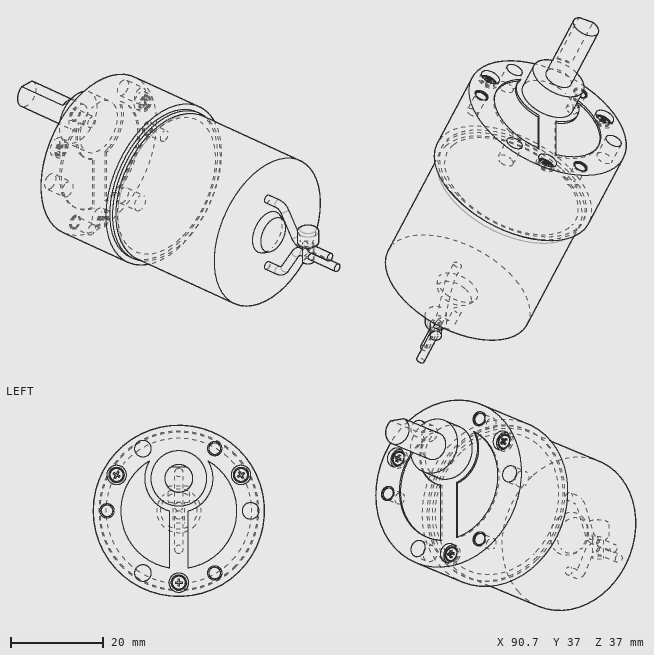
import cadquery as cq
import math

overall_length = 90.72
gearbox_radius = 18.5
gearbox_length = 19.0
flange_radius = 17.25
flange_length = 0.8
can_radius = 17.0
can_length = 29.5
can_front_round = 1.3

rear_boss_base_radius = 4.75
rear_boss_end_radius = 3.95
rear_boss_length = 1.7
rear_boss_bulge = 0.1

shaft_offset = 7.0
shaft_radius = 3.0
shaft_reach = 21.0
flat_length = 12.0
flat_height = 2.5
front_boss_radius = 6.0
front_boss_length = 6.0

recess_radius = 12.5
recess_depth = 0.5
boss_land_radius = 7.35
rib_width = 4.0

bolt_circle_radius = 15.5
plain_hole_angles = (60, 180, 300)
tapped_hole_angles = (0, 120, 240)
screw_angles = (30, 150, 270)

plain_hole_radius = 1.8
plain_hole_depth = 5.0

tapped_mouth_radius = 1.55
tapped_mouth_depth = 0.3
tapped_core_radius = 1.25
tapped_core_depth = 5.0
drill_point_angle = 118.0

screw_pocket_radius = 2.1
screw_pocket_depth = 1.4
screw_head_radius = 1.65
screw_rim_height = 0.2
screw_dome_radius = 1.4
screw_dome_height = 0.5
screw_slot_length = 1.5
screw_slot_width = 0.35
screw_slot_depth = 0.6

wire_radius = 0.9
wire_start_height = 8.3
wire_end_height = 0.89
wire_lead_length = 3.0
wire_bend_radius = 2.5
wire_slope_angle = 58.0
upper_wire_end = 67.6
wire_overall_end = overall_length - shaft_reach

pin_x = 61.2
pin_radius = 1.23
pin_bottom = -2.6
cap_radius = 2.33
cap_bottom = 1.75
cap_top = 5.35
cap_edge_round = 0.55

flange_end = gearbox_length + flange_length
can_end = flange_end + can_length


def rod(x_start, x_end, radius, y=0.0, z=0.0):
    """Cylinder along X between two stations."""
    return cq.Workplane("YZ", origin=(x_start, y, z)).circle(radius).extrude(x_end - x_start)


def bolt_circle_point(angle):
    """(y, z) of a place on the bolt circle."""
    turn = math.radians(angle)
    return bolt_circle_radius * math.cos(turn), bolt_circle_radius * math.sin(turn)


def make_housing():
    gearbox = rod(0, gearbox_length, gearbox_radius)
    flange = rod(gearbox_length, flange_end, flange_radius)
    can = rod(flange_end, can_end, can_radius).faces("<X").edges().fillet(can_front_round)
    return gearbox.union(flange).union(can)


def make_rear_boss():
    boss_end = can_end + rear_boss_length
    arc_middle = (
        can_end + rear_boss_length / 2,
        (rear_boss_base_radius + rear_boss_end_radius) / 2 + rear_boss_bulge,
    )
    return (
        cq.Workplane("XY")
        .moveTo(can_end, 0)
        .lineTo(can_end, rear_boss_base_radius)
        .threePointArc(arc_middle, (boss_end, rear_boss_end_radius))
        .lineTo(boss_end, 0)
        .close()
        .revolve(360, (0, 0, 0), (1, 0, 0))
    )


def make_output_shaft():
    boss = rod(-front_boss_length, 0, front_boss_radius, z=shaft_offset)
    shaft = rod(-shaft_reach, 0, shaft_radius, z=shaft_offset)
    flat_cut = cq.Workplane("XY").box(
        flat_length, 2 * shaft_radius, shaft_radius, centered=(False, True, False)
    )
    shaft = shaft.cut(flat_cut.translate((-shaft_reach, 0, shaft_offset + flat_height)))
    return boss.union(shaft)


def make_face_recess():
    recess = rod(0, recess_depth, recess_radius)
    boss_land = rod(0, recess_depth, boss_land_radius, z=shaft_offset)
    rib = cq.Workplane("XY").box(
        recess_depth, rib_width, shaft_offset + recess_radius, centered=(False, True, False)
    )
    return recess.cut(boss_land).cut(rib.translate((0, 0, -recess_radius)))


def make_plain_hole(angle):
    y, z = bolt_circle_point(angle)
    return rod(0, plain_hole_depth, plain_hole_radius, y, z)


def make_tapped_hole(angle):
    y, z = bolt_circle_point(angle)
    mouth = rod(0, tapped_mouth_depth, tapped_mouth_radius, y, z)
    core = rod(0, tapped_core_depth, tapped_core_radius, y, z)
    point_length = tapped_core_radius / math.tan(math.radians(drill_point_angle / 2))
    drill_point = cq.Solid.makeCone(
        tapped_core_radius, 0, point_length, cq.Vector(tapped_core_depth, y, z), cq.Vector(1, 0, 0)
    )
    return mouth.union(core).union(drill_point)


def make_screw_pocket(angle):
    y, z = bolt_circle_point(angle)
    return rod(0, screw_pocket_depth, screw_pocket_radius, y, z)


def make_screw_head(angle):
    """Low domed head with a cross recess, standing on the pocket floor."""
    y, z = bolt_circle_point(angle)
    rim_x = screw_pocket_depth - screw_rim_height
    crown_x = rim_x - screw_dome_height
    crown_radius = (screw_dome_radius**2 + screw_dome_height**2) / (2 * screw_dome_height)
    rim = rod(rim_x, screw_pocket_depth, screw_head_radius, y, z)
    sphere = cq.Workplane("XY").sphere(crown_radius).translate((crown_x + crown_radius, y, z))
    dome = sphere.intersect(rod(crown_x, rim_x, screw_dome_radius, y, z))
    slot = cq.Workplane("XY").box(
        screw_slot_depth, screw_slot_length, screw_slot_width, centered=(False, True, True)
    )
    cross = slot.union(slot.rotate((0, 0, 0), (1, 0, 0), 90))
    cross = cross.rotate((0, 0, 0), (1, 0, 0), angle).translate((crown_x, y, z))
    return rim.union(dome).cut(cross)


def make_wire(side, wire_end):
    """S-bent wire; side is +1 above the motor axis and -1 below it."""
    slope = math.radians(wire_slope_angle)
    half_slope = slope / 2
    bend_run = wire_bend_radius * math.sin(slope)
    bend_drop = wire_bend_radius * (1 - math.cos(slope))
    mid_run = wire_bend_radius * math.sin(half_slope)
    mid_drop = wire_bend_radius * (1 - math.cos(half_slope))
    slope_drop = wire_start_height - wire_end_height - 2 * bend_drop
    slope_run = slope_drop / math.tan(slope)

    bend_x = can_end + wire_lead_length
    pinch_x = bend_x + 2 * bend_run + slope_run

    def at(x, height):
        return x, side * height

    path = (
        cq.Workplane("XZ")
        .moveTo(*at(can_end, wire_start_height))
        .lineTo(*at(bend_x, wire_start_height))
        .threePointArc(
            at(bend_x + mid_run, wire_start_height - mid_drop),
            at(bend_x + bend_run, wire_start_height - bend_drop),
        )
        .lineTo(*at(pinch_x - bend_run, wire_end_height + bend_drop))
        .threePointArc(at(pinch_x - mid_run, wire_end_height + mid_drop), at(pinch_x, wire_end_height))
        .lineTo(*at(wire_end, wire_end_height))
    )
    section = cq.Workplane("YZ", origin=(can_end, 0, side * wire_start_height)).circle(wire_radius)
    return section.sweep(path)


def make_pin():
    pin = (
        cq.Workplane("XY", origin=(pin_x, 0, pin_bottom))
        .circle(pin_radius)
        .extrude(cap_top - cap_edge_round - pin_bottom)
    )
    cap = (
        cq.Workplane("XY", origin=(pin_x, 0, cap_bottom))
        .circle(cap_radius)
        .extrude(cap_top - cap_bottom)
        .edges("%CIRCLE")
        .fillet(cap_edge_round)
    )
    return pin.union(cap)


part = make_housing().union(make_rear_boss()).union(make_output_shaft())
part = part.cut(make_face_recess())

for hole_angle in plain_hole_angles:
    part = part.cut(make_plain_hole(hole_angle))
for hole_angle in tapped_hole_angles:
    part = part.cut(make_tapped_hole(hole_angle))
for screw_angle in screw_angles:
    part = part.cut(make_screw_pocket(screw_angle)).union(make_screw_head(screw_angle))

part = part.union(make_wire(1, upper_wire_end)).union(make_wire(-1, wire_overall_end))
part = part.union(make_pin())

result = part